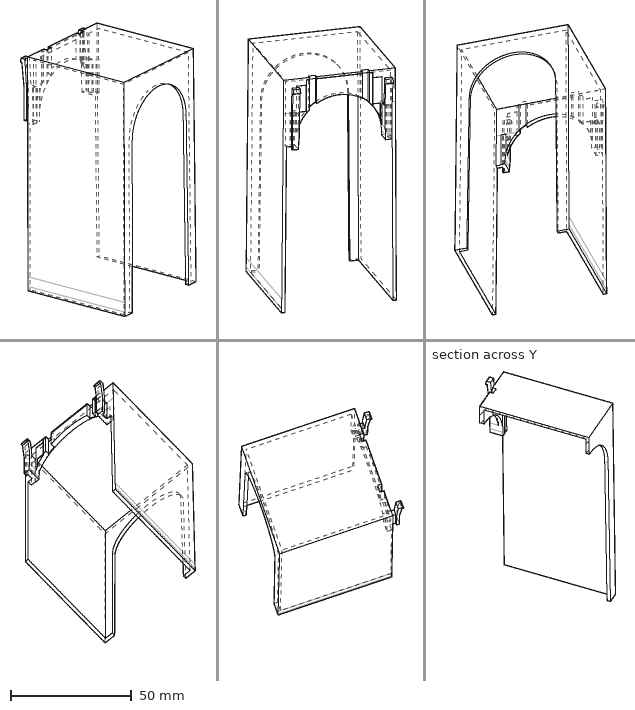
import cadquery as cq

height = 103.7
half_width_foot = 25.0
half_width_band = 24.9
half_width_top = 24.3
foot_height = 2.0
band_height = 6.2
back_top, back_foot = 5.7, 6.3
front_top, front_foot = 55.4, 56.3
wall = 1.6
plate = 2.0

arch_radius = 18.9
arch_crown = 94.6
arch_spring = arch_crown - arch_radius
opening_half_foot = 19.7

plate_bottom = 73.7
slot_inner, slot_outer, slot_depth = 10.0, 13.0, 1.7
panel_half, panel_top = 14.4, 102.8
relief = 0.16
shelf_z = 88.8
recess_top = 100.4
recess_strip = 0.8

clip_inner, clip_width = 18.6, 3.1
block_width = 2.2
arm_back, arm_front = 1.9, 3.2
clip_top = 101.1
tip_back, tip_front = 0.4, 2.4
hook_z, hook_root = 99.2, 0.7


def box(x0, x1, y0, y1, z0, z1):
    return cq.Workplane("XY").box(x1 - x0, y1 - y0, z1 - z0, centered=False).translate((x0, y0, z0))


def drafted_solid(side, roof_z, back_inset, front_inset):
    """Tapered block with the given (Y, Z) side line on both flanks, cut off at roof_z."""
    mirrored = [(-y, z) for y, z in reversed(side)]
    across = cq.Workplane("YZ").polyline(side + mirrored).close().extrude(front_foot)
    profile = [(back_foot + back_inset, 0), (front_foot - front_inset, 0), (front_top - front_inset, height),
               (back_top + back_inset, height), (back_top + back_inset, shelf_z)]
    along = cq.Workplane("XZ").polyline(profile).close().extrude(half_width_foot, both=True)
    limit = box(0, front_foot, -half_width_foot, half_width_foot, 0, roof_z)
    return across.intersect(along).intersect(limit)


def hollow_shell():
    outer_side = [(half_width_foot, 0), (half_width_foot, foot_height),
                  (half_width_band, band_height), (half_width_top, height)]
    inner_side = [(half_width_foot - wall, 0), (half_width_top - wall, height)]
    outer = drafted_solid(outer_side, height, 0, 0)
    cavity = drafted_solid(inner_side, height - wall, plate, wall)
    open_end = drafted_solid(inner_side, plate_bottom, 0, wall)
    return outer.cut(cavity).cut(open_end)


def arch_cutter():
    return (
        cq.Workplane("YZ")
        .moveTo(-opening_half_foot, 0)
        .lineTo(-arch_radius, arch_spring)
        .threePointArc((0, arch_crown), (arch_radius, arch_spring))
        .lineTo(opening_half_foot, 0)
        .close()
        .extrude(front_foot)
    )


def raised_panel():
    """Shallow pad in the middle of the clip-side plate."""
    return box(back_top - relief, back_top + wall, -panel_half, panel_half, arch_spring, panel_top)


def slot():
    """Vertical guide slot through the top edge of the clip-side plate."""
    return box(0, back_top + slot_depth, slot_inner, slot_outer, arch_spring, height)


def side_recess():
    """Shallow recess beside a clip, with a narrow strip running down to the arch."""
    floor_x = back_top + relief
    upper = box(0, floor_x, panel_half, clip_inner, shelf_z, recess_top)
    strip = box(0, floor_x, clip_inner - recess_strip, clip_inner, arch_spring, shelf_z)
    return upper.union(strip)


def clip():
    """Snap arm with a hooked tip, standing off the plate on a block."""
    arm = (
        cq.Workplane("XZ")
        .polyline([(arm_back, plate_bottom), (arm_front, plate_bottom), (arm_front, shelf_z),
                   (tip_front, clip_top), (tip_back, clip_top),
                   (0, hook_z), (hook_root, hook_z), (arm_back, shelf_z)])
        .close()
        .extrude(-clip_width)
        .translate((0, clip_inner, 0))
    )
    block = box(arm_back, back_foot + wall, clip_inner, clip_inner + block_width, plate_bottom, shelf_z)
    return arm.union(block)


def both_sides(feature):
    return feature.union(feature.mirror("XZ"))


body = hollow_shell().union(raised_panel())
body = body.cut(both_sides(slot())).cut(both_sides(side_recess()))
body = body.union(both_sides(clip()))
result = body.cut(arch_cutter())